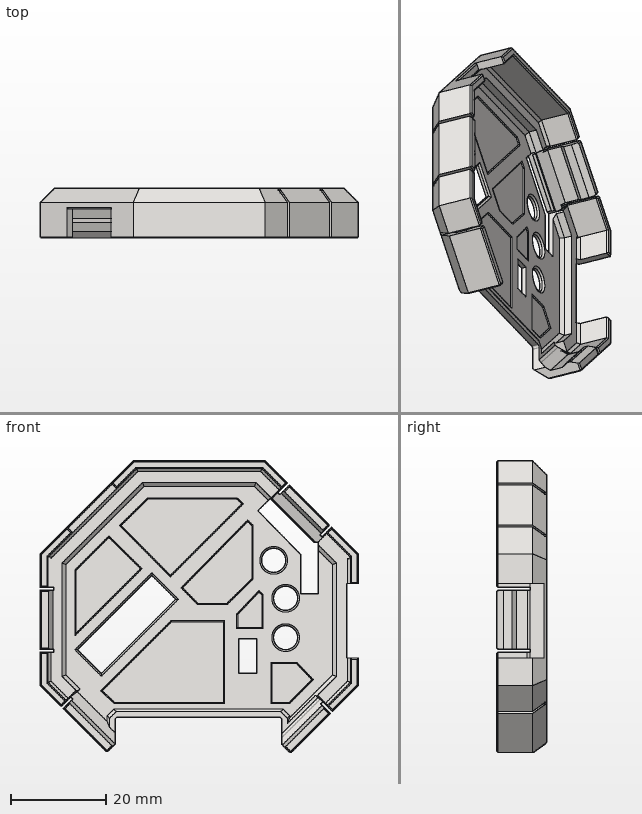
import cadquery as cq
import math

APOTHEM = 33.33
DEPTH = 10.5
BACK_CHAMFER = 3.0
FLOOR = 1.0
PAST = 1.0

WALL = 1.65
LEDGE_HEIGHT = 3.5
WALL_FOOT = 0.6
LEDGE_INSET = 4.6
FLOOR_FOOT = 0.8
RIM_CHAMFER = 0.28
TOLERANCE = 0.02

CLIP_WALL = 1.72
BEAD_INSET = 2.45
LEFT_BEAD_INSET = 2.65
BEAD_HEIGHTS = (1.4, 1.85, 0.85)
LOWER_RIGHT_BEAD_HEIGHTS = (1.8, 0.9, 1.2)
FLEX_INSET = 4.75
STEEP_SLOPE = [(CLIP_WALL, 3.88), (4.6, FLOOR)]
SHALLOW_SLOPE = [(CLIP_WALL, 3.3), (FLEX_INSET, 1.75), (FLEX_INSET, FLOOR)]
FLEX_OVERLAP = 0.5
FLEX_FLOOR_OVERLAP = 0.1
SLIT_WIDTH = 0.6
SLIT_INSET = 2.8

UPPER_RIGHT, UPPER_LEFT, LEFT, LOWER_LEFT, LOWER_RIGHT = 45, 135, 180, 225, 315

UPPER_RIGHT_SLITS = (-5.6, 6.9)
LEFT_SLITS = (-6.5, 6.5)
LOWER_LEFT_SLIT = -7.3
LOWER_RIGHT_SLIT = 5.85

LOWER_LEFT_TIP = 5.97
LOWER_RIGHT_TIP = -6.25
TIP_BEVEL = 0.21
TIP_INSET = 6.0

WINDOW_SPAN = (-7.2, 5.85)
WINDOW_HEIGHT = 4.4
WINDOW_CHAMFER = 0.3
GAP_BOTTOM, GAP_TOP = -8.0, 7.55
GAP_INSET = 2.4

NOTCH_LEFT, NOTCH_RIGHT = -17.6, 17.27
NOTCH_TOP = -20.45
RIB_WIDTH = 1.2
RIB_RISE = 0.5
RIB_TOP = FLOOR + RIB_RISE
NOTCH_FILLET = 0.5
SHELF_SLOPE = [(CLIP_WALL, 3.8), (3.64, 1.96), (4.2, RIB_TOP)]
RIB_CORNER = 1.4
RIB_BOTTOM = -23.5

HOLES = [(15.6, 12.45), (18.1, 4.5), (18.1, -3.75)]
HOLE_RADIUS = 2.5
HOLE_CHAMFER = 0.4

SLOT_CENTER = (-15.22, -1.0)
SLOT_LENGTH, SLOT_WIDTH = 22.8, 7.85
SLOT_CHAMFER = 0.4
PORT_LEFT, PORT_RIGHT = 8.3, 12.05
PORT_BOTTOM, PORT_TOP = -11.2, -4.0

ANGLED_OPENING = [
    (14.85, 25.4), (12.3, 22.85), (21.3, 13.65), (21.3, 5.5), (24.9, 5.5), (24.9, 16.2), (24.05, 16.2),
]

RECESS_DEPTH = 0.22
RECESSES = [
    [(-10.8, 25.55), (7.95, 25.55), (9.25, 24.3), (-6.05, 9), (-16.7, 19.75)],
    [(-18.95, 17.55), (-12, 10.7), (-26.05, -3.35), (-26.05, 10.45)],
    [(10.15, 20.9), (11.3, 19.75), (11.3, 8.55), (5.8, 3.15), (-0.3, 3.15), (-3.8, 6.7)],
    [(12.5, 6.1), (13.35, 5.3), (13.35, -1.8), (7.85, -1.8), (7.85, 1.2)],
    [(-5.9, -0.2), (5.3, -0.2), (5.3, -17.6), (-17.75, -17.6), (-20.65, -14.9)],
    [(15, -9), (20.5, -9), (23.9, -12.55), (18.9, -17.6), (15, -17.6)],
]


def at_height(height):
    return cq.Workplane("XZ").workplane(offset=height)


def octagon(inset):
    radius = (APOTHEM - inset) / math.cos(math.pi / 8)
    angles = [math.pi / 8 + k * math.pi / 4 for k in range(8)]
    return [(radius * math.cos(a), radius * math.sin(a)) for a in angles]


def prism(points, low, high):
    return at_height(low).polyline(points).close().extrude(high - low)


def loft(low_points, low, high_points, high):
    lower = at_height(low).polyline(low_points).close()
    return lower.workplane(offset=high - low).polyline(high_points).close().loft(ruled=True)


def box(left, right, bottom, top, low, high):
    return prism([(left, bottom), (right, bottom), (right, top), (left, top)], low, high)


def side_point(angle, position, inset):
    c = math.cos(math.radians(angle))
    s = math.sin(math.radians(angle))
    reach = APOTHEM - inset
    return (reach * c - position * s, reach * s + position * c)


def along_side(angle, profile, start, end):
    """Extrude a profile of (inset, height) points along one side, from start to end."""
    c = math.cos(math.radians(angle))
    s = math.sin(math.radians(angle))
    x, z = side_point(angle, start, 0)
    plane = cq.Plane(origin=(x, 0, z), xDir=(-c, 0, -s), normal=(-s, 0, c))
    return cq.Workplane(plane).polyline(profile).close().extrude(end - start)


def side_box(angle, start, end, inset_from, inset_to, low, high):
    profile = [(inset_from, low), (inset_to, low), (inset_to, high), (inset_from, high)]
    return along_side(angle, profile, start, end)


def shell():
    body = loft(octagon(BACK_CHAMFER), 0, octagon(0), BACK_CHAMFER)
    body = body.union(prism(octagon(0), BACK_CHAMFER, DEPTH))
    foot_top = FLOOR + FLOOR_FOOT
    body = body.cut(loft(octagon(LEDGE_INSET + FLOOR_FOOT), FLOOR, octagon(LEDGE_INSET), foot_top))
    body = body.cut(prism(octagon(LEDGE_INSET), foot_top, LEDGE_HEIGHT))
    foot_top = LEDGE_HEIGHT + WALL_FOOT
    body = body.cut(loft(octagon(WALL + WALL_FOOT), LEDGE_HEIGHT, octagon(WALL), foot_top))
    return body.cut(prism(octagon(WALL), foot_top, DEPTH))


def across_side(angle, profile, inset_from, inset_to):
    """Extrude a profile of (position along the side, height) points between two insets."""
    c = math.cos(math.radians(angle))
    s = math.sin(math.radians(angle))
    x, z = side_point(angle, 0, inset_to)
    plane = cq.Plane(origin=(x, 0, z), xDir=(-s, 0, c), normal=(c, 0, s))
    return cq.Workplane(plane).polyline(profile).close().extrude(inset_to - inset_from)


def thin_wall(angle, floor_span, ledge_span, slope):
    """Cutter that thins a side to a sloped wall; its ends slope from floor_span to ledge_span."""
    inner = LEDGE_INSET + FLOOR_FOOT
    lowest = slope[-1][1]
    profile = [(CLIP_WALL, DEPTH), *slope, (inner, lowest), (inner, DEPTH)]
    ends = [
        (floor_span[0], FLOOR), (floor_span[1], FLOOR), (ledge_span[1], LEDGE_HEIGHT),
        (ledge_span[1], DEPTH), (ledge_span[0], DEPTH), (ledge_span[0], LEDGE_HEIGHT),
    ]
    return along_side(angle, profile, *ledge_span).intersect(across_side(angle, ends, 0, inner))


def bead(angle, start, end, inset, heights):
    lead_in, crest, back = heights
    lead_in_end = DEPTH - lead_in
    crest_end = lead_in_end - crest
    back_end = crest_end - back
    profile = [
        (WALL / 2, DEPTH), (CLIP_WALL, DEPTH), (inset, lead_in_end), (inset, crest_end),
        (CLIP_WALL, back_end), (CLIP_WALL, BACK_CHAMFER), (WALL / 2, BACK_CHAMFER),
    ]
    return along_side(angle, profile, start, end)


def slit(angle, position):
    half = SLIT_WIDTH / 2
    return side_box(angle, position - half, position + half, -PAST, SLIT_INSET, -PAST, DEPTH + PAST)


def add_clips(body):
    side_end = APOTHEM * math.tan(math.pi / 8)
    start, end = UPPER_RIGHT_SLITS
    first, last = start - FLEX_OVERLAP, end + FLEX_OVERLAP
    spans = [(first, end + FLEX_FLOOR_OVERLAP), (first, last)]
    body = body.cut(thin_wall(UPPER_RIGHT, *spans, SHALLOW_SLOPE))
    first, low = LOWER_LEFT_SLIT - FLEX_OVERLAP, LOWER_LEFT_SLIT - FLEX_FLOOR_OVERLAP
    spans = [(low, side_end), (first, side_end)]
    body = body.cut(thin_wall(LOWER_LEFT, *spans, STEEP_SLOPE))
    last, low = LOWER_RIGHT_SLIT + FLEX_OVERLAP, LOWER_RIGHT_SLIT + FLEX_FLOOR_OVERLAP
    spans = [(-side_end, low), (-side_end, last)]
    body = body.cut(thin_wall(LOWER_RIGHT, *spans, SHELF_SLOPE))
    beads = [
        (UPPER_RIGHT, start, end, BEAD_INSET, BEAD_HEIGHTS),
        (LEFT, *LEFT_SLITS, LEFT_BEAD_INSET, BEAD_HEIGHTS),
        (LOWER_LEFT, LOWER_LEFT_SLIT, LOWER_LEFT_TIP, BEAD_INSET, BEAD_HEIGHTS),
        (LOWER_RIGHT, LOWER_RIGHT_TIP, LOWER_RIGHT_SLIT, BEAD_INSET, LOWER_RIGHT_BEAD_HEIGHTS),
    ]
    for clip_bead in beads:
        body = body.union(bead(*clip_bead))
    return body


def cut_slits(body):
    slits = [(UPPER_RIGHT, t) for t in UPPER_RIGHT_SLITS] + [(LEFT, t) for t in LEFT_SLITS]
    slits += [(LOWER_LEFT, LOWER_LEFT_SLIT), (LOWER_RIGHT, LOWER_RIGHT_SLIT)]
    for angle, position in slits:
        body = body.cut(slit(angle, position))
    return body


def remove_feet(body):
    """Two wall stretches have no foot at the ledge: above the left clip and below the upper right one."""
    inner_corner = (APOTHEM - WALL) * math.tan(math.pi / 8)
    foot = (WALL, WALL + WALL_FOOT, LEDGE_HEIGHT, LEDGE_HEIGHT + WALL_FOOT)
    for angle, slit_position in [(LEFT, LEFT_SLITS[0]), (UPPER_RIGHT, UPPER_RIGHT_SLITS[0])]:
        body = body.cut(side_box(angle, -inner_corner, slit_position, *foot))
    return body


def rib_outline(margin):
    left = NOTCH_LEFT - margin
    right = NOTCH_RIGHT + margin
    top = NOTCH_TOP + margin
    return [
        (left, RIB_BOTTOM), (left, top - RIB_CORNER), (left + RIB_CORNER, top),
        (right - RIB_CORNER, top), (right, top - RIB_CORNER), (right, RIB_BOTTOM),
    ]


def tip_cutter(angle, tip):
    """Cutter that ends a lower side squarely at the tip position, with a bevelled outer corner."""
    direction = math.copysign(1, tip)
    far = tip + direction * APOTHEM / 2
    bevel_start = tip - direction * TIP_BEVEL
    outline = [
        (bevel_start - direction * PAST, -PAST), (tip, TIP_BEVEL),
        (tip, TIP_INSET), (far, TIP_INSET), (far, -PAST),
    ]
    points = [side_point(angle, position, inset) for position, inset in outline]
    return prism(points, -PAST, DEPTH + PAST)


def cut_notch(body):
    body = body.union(loft(rib_outline(RIB_WIDTH + RIB_RISE), FLOOR, rib_outline(RIB_WIDTH), RIB_TOP))
    notch = box(NOTCH_LEFT, NOTCH_RIGHT, -APOTHEM - PAST, NOTCH_TOP, -PAST, DEPTH + PAST)
    body = body.cut(notch.edges("|Y and >Z").fillet(NOTCH_FILLET))
    body = body.cut(tip_cutter(LOWER_LEFT, LOWER_LEFT_TIP))
    return body.cut(tip_cutter(LOWER_RIGHT, LOWER_RIGHT_TIP))


def cut_wall_openings(body):
    first, last = WINDOW_SPAN
    body = body.cut(side_box(UPPER_LEFT, first, last, -PAST, 2 * WALL, WINDOW_HEIGHT, DEPTH + PAST))
    bevel = [
        (0, WINDOW_HEIGHT - WINDOW_CHAMFER), (WINDOW_CHAMFER, WINDOW_HEIGHT),
        (-WINDOW_CHAMFER, WINDOW_HEIGHT),
    ]
    body = body.cut(along_side(UPPER_LEFT, bevel, first, last))
    gap_left = APOTHEM - GAP_INSET
    return body.cut(box(gap_left, APOTHEM + PAST, GAP_BOTTOM, GAP_TOP, -PAST, DEPTH + PAST))


def chamfer_rim(body):
    """Break every edge of the rim except the lead-in edges of the beads."""
    def is_broken(edge):
        center = edge.Center()
        spread = max(abs(center.x), abs(center.z), (abs(center.x) + abs(center.z)) / math.sqrt(2))
        return abs(APOTHEM - spread - CLIP_WALL) > TOLERANCE

    edges = [e for e in body.faces("<Y").edges().vals() if is_broken(e)]
    return body.newObject(edges).chamfer(RIM_CHAMFER)


def cut_holes(body):
    through = at_height(-PAST).pushPoints(HOLES).circle(HOLE_RADIUS).extrude(FLOOR + 2 * PAST)
    body = body.cut(through)
    for x, z in HOLES:
        cone = at_height(FLOOR - HOLE_CHAMFER).center(x, z).circle(HOLE_RADIUS)
        cone = cone.workplane(offset=HOLE_CHAMFER).circle(HOLE_RADIUS + HOLE_CHAMFER).loft(ruled=True)
        body = body.cut(cone)
    return body


def slot_section(plane, margin):
    return plane.rect(SLOT_LENGTH - 2 * margin, SLOT_WIDTH - 2 * margin)


def cut_slot(body):
    base = at_height(-PAST).center(*SLOT_CENTER).transformed(rotate=(0, 0, 45))
    body = body.cut(slot_section(base, SLOT_CHAMFER).extrude(FLOOR + 2 * PAST))
    bevel = slot_section(base.workplane(offset=PAST + FLOOR - SLOT_CHAMFER), SLOT_CHAMFER)
    bevel = slot_section(bevel.workplane(offset=SLOT_CHAMFER), 0).loft(ruled=True)
    return body.cut(bevel)


def cut_floor_openings(body):
    body = body.cut(box(PORT_LEFT, PORT_RIGHT, PORT_BOTTOM, PORT_TOP, -PAST, FLOOR + PAST))
    return body.cut(prism(ANGLED_OPENING, -PAST, LEDGE_HEIGHT))


def cut_recesses(body):
    for outline in RECESSES:
        recess = at_height(FLOOR).polyline(outline).close().extrude(-RECESS_DEPTH, taper=45)
        body = body.cut(recess)
    return body


result = shell()
result = add_clips(result)
result = remove_feet(result)
result = cut_notch(result)
result = cut_slits(result)
result = cut_wall_openings(result)
result = chamfer_rim(result)
result = cut_holes(result)
result = cut_slot(result)
result = cut_floor_openings(result)
result = cut_recesses(result)